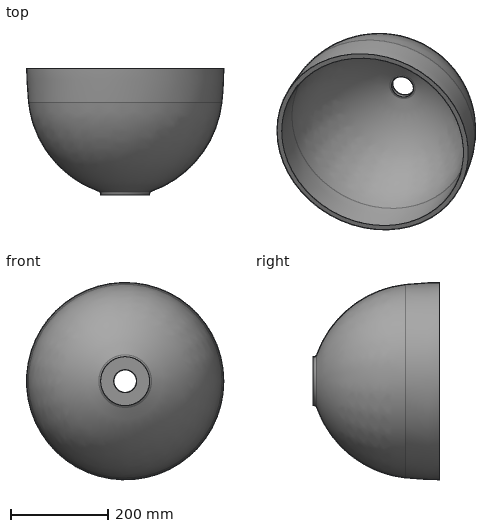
import cadquery as cq
import math

rim_radius = 202.5
total_height = 260.0
rim_y = total_height / 2
base_y = -total_height / 2

skirt_height = 70.0
dome_arc_radius = 220.5
dome_center_x = -20.2
dome_center_depth = 45.0
collar_radius = 50.2
flare_radius = 5.5
hole_radius = 23.0
wall = 10.0

dome_center_y = rim_y - dome_center_depth
seam_y = rim_y - skirt_height


def dome_point(angle, offset=0.0):
    """Point on the dome arc, set inward by offset; the angle turns from radial toward the base."""
    radius = dome_arc_radius - offset
    return (dome_center_x + radius * math.cos(angle), dome_center_y - radius * math.sin(angle))


def dome_angle(y, offset=0.0):
    """Angle at which the dome arc reaches the height y."""
    return math.asin((dome_center_y - y) / (dome_arc_radius - offset))


seam_angle = dome_angle(seam_y)
seam_inset = rim_radius - dome_point(seam_angle)[0]
skirt_arc_radius = (skirt_height**2 + seam_inset**2) / (2 * seam_inset)
skirt_center_x = rim_radius - skirt_arc_radius


def skirt_point(y, offset=0.0):
    """Point on the skirt arc at the height y, set inward by offset."""
    radius = skirt_arc_radius - offset
    return (skirt_center_x + math.sqrt(radius**2 - (rim_y - y) ** 2), y)


flare_center_x = collar_radius + flare_radius
flare_reach = dome_arc_radius + flare_radius
flare_angle = math.acos((flare_center_x - dome_center_x) / flare_reach)
flare_center_y = dome_center_y - flare_reach * math.sin(flare_angle)
flare_middle = (
    flare_center_x - flare_radius * math.cos(flare_angle / 2),
    flare_center_y + flare_radius * math.sin(flare_angle / 2),
)

seat_y = base_y + wall
skirt_middle_y = (rim_y + seam_y) / 2
inner_seam_angle = dome_angle(seam_y, wall)
inner_seat_angle = dome_angle(seat_y, wall)

section = (
    cq.Workplane("XY")
    .moveTo(hole_radius, base_y)
    .lineTo(collar_radius, base_y)
    .lineTo(collar_radius, flare_center_y)
    .threePointArc(flare_middle, dome_point(flare_angle))
    .threePointArc(dome_point((flare_angle + seam_angle) / 2), dome_point(seam_angle))
    .threePointArc(skirt_point(skirt_middle_y), (rim_radius, rim_y))
    .lineTo(rim_radius - wall, rim_y)
    .threePointArc(skirt_point(skirt_middle_y, wall), dome_point(inner_seam_angle, wall))
    .threePointArc(
        dome_point((inner_seam_angle + inner_seat_angle) / 2, wall),
        dome_point(inner_seat_angle, wall),
    )
    .lineTo(hole_radius, seat_y)
    .close()
)

result = section.revolve(360, (0, 0, 0), (0, 1, 0))